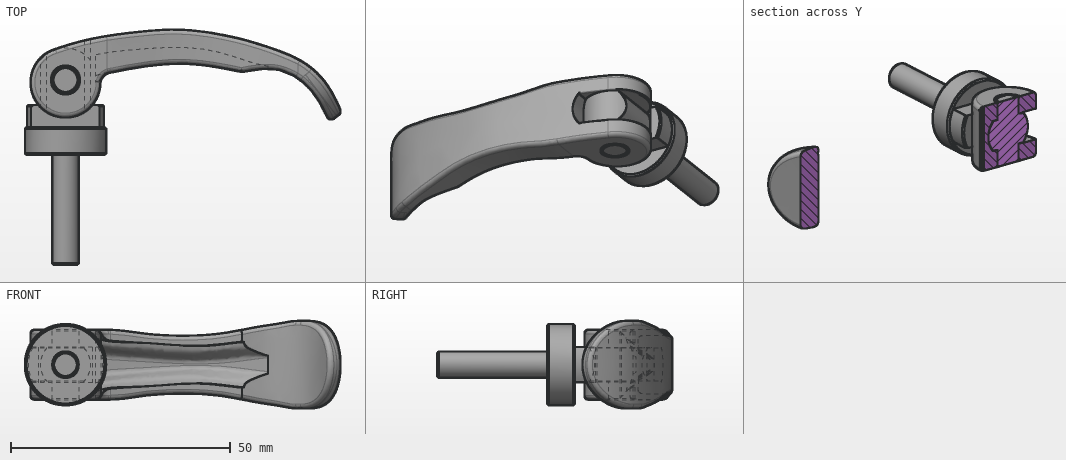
import cadquery as cq
import math


rod_radius = 3.0
rod_end_y = -42.1
rod_chamfer = 0.4
flange_radius = 9.3
flange_bottom_y = -17.05
flange_top_y = -10.7
flange_chamfer = 0.4
boss_radius = 8.8
boss_thickness = 8.05
boss_top_y = -5.7
boss_chamfer = 0.35
shank_radius = 5.7
shank_thickness = 7.5
eye_radius = 7.3
pin_radius = 3.0
pin_chamfer = 0.3

cam_radius = 8.0
cam_center_y = -0.6
head_thickness = 16.0
edge_fillet = 1.0
slot_fillet = 0.2
hole_chamfer = 0.3

back_start_x = -2.3
back_points = [(7.9, 9.8), (17.55, 11.1), (24.1, 11.5), (32.0, 10.95), (40.3, 9.3),
               (47.5, 7.05), (54.2, 4.0), (58.5, 0.3), (61.5, -4.45)]
blank_tip_back = (64.0, -10.35)
blank_tip_palm = (60.6, -10.8)
palm_points = [(59.3, -7.85), (55.9, -2.3), (52.0, 0.9), (48.7, 2.3), (45.0, 2.5)]
ridge = (40.2, 1.8)
grip_points = [(34.7, 2.9), (27.6, 3.7), (21.1, 3.45), (14.6, 2.5)]
grip_start = (10.2, 1.65)
neck_middle = (8.5, 0.65)

neck_x = 9.5
width_points = [(17.6, 7.1), (26.85, 6.6), (35.55, 7.1), (44.2, 8.7), (49.65, 9.6)]
widest_x = 52.9
max_half_width = 10.0

tip_x = 61.8
tip_y = -8.3
tip_slope = 53.0
end_length = 11.9

valley_sections = [
    (6.8, 5.75, 1.0, 1.45, 3.6, 6.2),
    (17.3, 7.05, 3.0, 0.7, 2.5, 5.0),
    (26.6, 7.4, 3.75, 0.2, 1.9, 4.3),
    (34.55, 6.4, 3.0, 0.3, 2.15, 4.45),
    (40.3, 4.7, 1.95, 0.85, 2.7, 5.1),
    (46.05, 3.2, 2.0, 1.6, 2.0, 3.5),
]
valley_flare = 1.45

clearance = 143.9


def y_cylinder(radius, y_from, y_to):
    return cq.Workplane("XZ", origin=(0, y_from, 0)).circle(radius).extrude(y_from - y_to)


def z_cylinder(radius, length, center_y=0.0):
    base = cq.Workplane("XY", origin=(0, center_y, -length / 2))
    return base.circle(radius).extrude(length)


def z_slab(thickness):
    return cq.Workplane("XY").box(2 * clearance, 2 * clearance, thickness)



def stud_boss():
    boss = y_cylinder(boss_radius, flange_top_y, boss_top_y).faces(">Y").chamfer(boss_chamfer)
    boss = boss.intersect(z_slab(boss_thickness))
    cam_seat = z_cylinder(cam_radius, head_thickness, cam_center_y)
    return boss.cut(cam_seat)


def stud_shank():
    eye = z_cylinder(eye_radius, shank_thickness)
    stem = cq.Workplane("XY").box(2 * eye_radius, -flange_top_y, shank_thickness)
    stem = stem.translate((0, flange_top_y / 2, 0))
    return y_cylinder(shank_radius, flange_top_y, eye_radius).intersect(eye.union(stem))


def make_stud():
    rod = y_cylinder(rod_radius, rod_end_y, flange_bottom_y).faces("<Y").chamfer(rod_chamfer)
    flange = y_cylinder(flange_radius, flange_bottom_y, flange_top_y)
    flange = flange.faces("<Y or >Y").chamfer(flange_chamfer)
    pin = z_cylinder(pin_radius, head_thickness).faces("<Z or >Z").chamfer(pin_chamfer)
    return rod.union(flange).union(stud_boss()).union(stud_shank()).union(pin)



def handle_side():
    back_start = (back_start_x, cam_center_y + math.sqrt(cam_radius**2 - back_start_x**2))
    cam_right = (cam_radius, cam_center_y)
    cam_bottom = (0, cam_center_y - cam_radius)
    cam_left = (-cam_radius, cam_center_y)
    cam_diagonal = cam_radius * math.sqrt(0.5)
    return (
        cq.Workplane("XY", origin=(0, 0, -head_thickness)).moveTo(*back_start)
        .spline(back_points + [blank_tip_back], includeCurrent=True)
        .lineTo(*blank_tip_palm)
        .spline(palm_points + [ridge], includeCurrent=True)
        .spline(grip_points + [grip_start], includeCurrent=True)
        .threePointArc(neck_middle, cam_right)
        .threePointArc((cam_diagonal, cam_center_y - cam_diagonal), cam_bottom)
        .threePointArc(cam_left, back_start)
        .close().extrude(2 * head_thickness)
    )


def handle_width():
    half = head_thickness / 2
    upper = width_points + [(widest_x, max_half_width)]
    lower = [(x, -z) for x, z in reversed(width_points)] + [(neck_x, -half)]
    return (
        cq.Workplane("XZ").moveTo(-clearance, half).lineTo(neck_x, half)
        .spline(upper, tangents=[(1, 0), (1, 0)], includeCurrent=True)
        .lineTo(clearance, max_half_width).lineTo(clearance, -max_half_width)
        .lineTo(widest_x, -max_half_width)
        .spline(lower, tangents=[(-1, 0), (-1, 0)], includeCurrent=True)
        .lineTo(-clearance, -half).close().extrude(clearance, both=True)
    )


def handle_end():
    slope = math.radians(tip_slope)
    along = cq.Vector(math.cos(slope), -math.sin(slope), 0)
    across = cq.Vector(math.sin(slope), math.cos(slope), 0)
    center = cq.Vector(tip_x, tip_y, 0) - along * end_length
    return (
        cq.Workplane(cq.Plane(origin=center, xDir=along, normal=across))
        .moveTo(-clearance, max_half_width).lineTo(0, max_half_width)
        .ellipseArc(end_length, max_half_width, -90, 90, startAtCurrent=True, sense=-1)
        .lineTo(-clearance, -max_half_width).close().extrude(clearance, both=True)
    )


def valley_section(x, floor_y, rim_y, floor_half, mid_half, rim_half):
    mid_y = (floor_y + rim_y) / 2
    outer_half = rim_half + valley_flare
    outer_y = rim_y - valley_flare
    level = [(0, 1), (0, 1)]
    return (
        cq.Workplane("YZ", origin=(x, 0, 0))
        .moveTo(floor_y, -floor_half).lineTo(floor_y, floor_half)
        .spline([(mid_y, mid_half), (rim_y, rim_half)], tangents=level, includeCurrent=True)
        .lineTo(outer_y, outer_half).lineTo(outer_y, -outer_half).lineTo(rim_y, -rim_half)
        .spline([(mid_y, -mid_half), (floor_y, -floor_half)], tangents=level, includeCurrent=True)
        .close().val()
    )


def valley():
    return cq.Workplane(cq.Solid.makeLoft([valley_section(*section) for section in valley_sections]))


def fork_slot():
    bore = y_cylinder(shank_radius, -clearance, clearance).intersect(z_slab(shank_thickness))
    mouth = cq.Workplane("XY").box(clearance, clearance, shank_thickness)
    return bore.union(mouth.translate((-clearance / 2, 0, 0)))


def pin_hole():
    hole = z_cylinder(pin_radius, head_thickness)
    mouth = cq.Workplane(cq.Solid.makeCone(pin_radius, pin_radius + hole_chamfer, hole_chamfer))
    mouth = mouth.translate((0, 0, head_thickness / 2 - hole_chamfer))
    return hole.union(mouth).union(mouth.mirror("XY"))


def make_lever():
    lever = handle_side().intersect(handle_width()).intersect(handle_end())
    lever = lever.edges("not(|Z)").fillet(edge_fillet)
    lever = lever.cut(valley()).cut(fork_slot())
    reach = 1.5 * cam_radius
    slot_zone = cq.selectors.BoxSelector(
        (-reach, -reach, -boss_thickness / 2), (reach, reach, boss_thickness / 2), boundingbox=True)
    lever = lever.edges(slot_zone).edges("%CIRCLE").fillet(slot_fillet)
    return lever.cut(pin_hole())


stud = make_stud()
lever = make_lever()

result = cq.Compound.makeCompound([stud.val(), lever.val()])